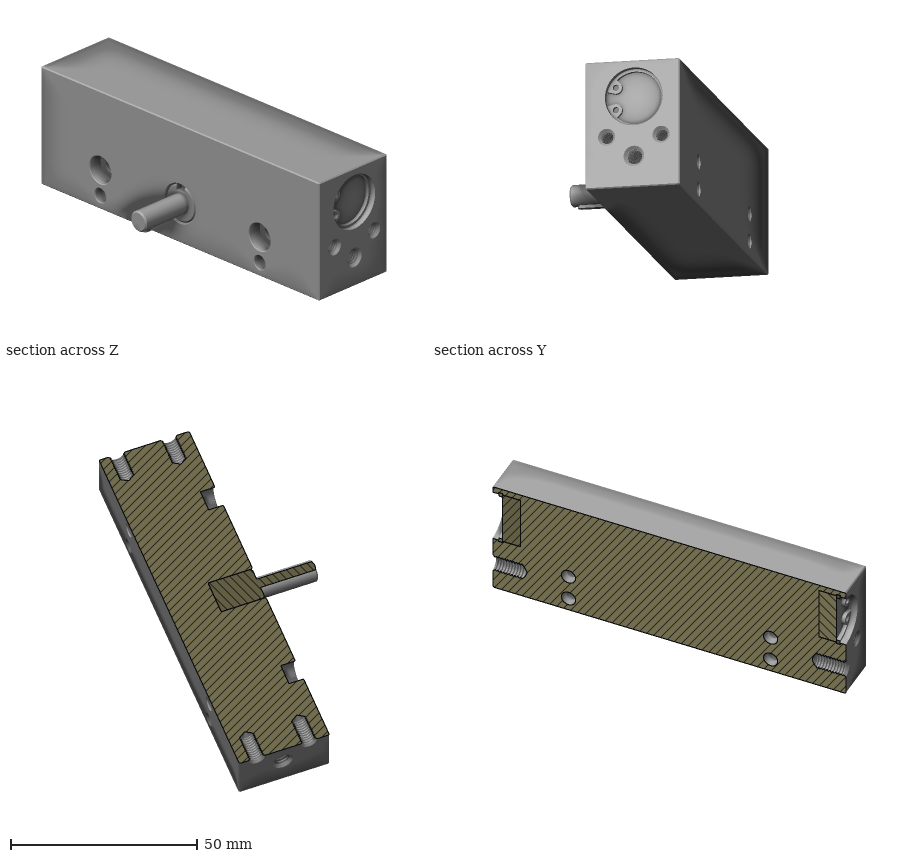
import cadquery as cq
import math

LENGTH = 105.0
DEPTH = 26.0
HEIGHT = 35.0
EDGE_CHAMFER = 0.3

MOUNT_X = 30.0
MOUNT_HOLE_DIA = 4.1
LOWER_HOLE_Z = 4.0
COUNTERBORE_DIA = 8.0
COUNTERBORE_DEPTH = 4.2
MOUTH_CHAMFER = 0.2

SHAFT_Z = 11.5
SHAFT_DIA = 6.0
SHAFT_REACH = 16.0
SHAFT_CHAMFER = 0.4
HUB_DIA = 11.0
HUB_RECESS = 0.2
HUB_CHAMFER = 0.4
HUB_LENGTH = 12.6
BORE_CHAMFER = 0.4
HUB_SLOT_WIDTH = 3.2
HUB_SLOT_FLOOR = 3.6
HUB_SLOT_DEPTH = 2.1

KEY_SIDE = 2.0
KEY_LENGTH = 10.0
KEY_PROUD = 0.6
KEY_START = 4.2

END_AXIS_Y = 13.4
END_BORE_Z = 25.0
END_BORE_DIA = 16.0
RING_INSET = 1.8
RING_THICKNESS = 1.0
RING_GROOVE_DEPTH = 0.4
RING_BAND = 0.7
PLUG_LENGTH = 5.2
LUG_DIA = 3.4
LUG_HOLE_DIA = 1.7
LUG_RADIUS = 6.2
LUG_ANGLE = 30.0

SIDE_PORT_MINOR_DIA = 3.4
SIDE_PORT_MAJOR_DIA = 4.0
SIDE_PORT_MOUTH_DIA = 4.7
SIDE_PORT_PITCH = 0.7
SIDE_PORT_SPACING = 15.0
SIDE_PORT_Z = 14.1
CENTRE_PORT_MINOR_DIA = 4.2
CENTRE_PORT_MAJOR_DIA = 5.1
CENTRE_PORT_MOUTH_DIA = 5.7
CENTRE_PORT_PITCH = 0.8
CENTRE_PORT_Z = 8.5
THREAD_TURNS = 10
FLANK_SHARE = 0.3
ROOT_SHARE = 0.2
DRILL_POINT_ANGLE = 118.0

ALONG_X = cq.Vector(1, 0, 0)
ALONG_Y = cq.Vector(0, 1, 0)


def rod_y(diameter, start_y, end_y, x, z):
    """Cylinder along Y between two Y positions."""
    start = cq.Vector(x, start_y, z)
    return cq.Workplane(cq.Solid.makeCylinder(diameter / 2, end_y - start_y, start, ALONG_Y))


def rod_x(diameter, inset, length, y, z):
    """Cylinder that starts at the given inset from the left end and runs inward."""
    start = cq.Vector(-LENGTH / 2 + inset, y, z)
    return cq.Workplane(cq.Solid.makeCylinder(diameter / 2, length, start, ALONG_X))


def at_end(left_shape, side):
    """The shape itself for the left end (-1), its mirror image for the right end (+1)."""
    return left_shape if side < 0 else left_shape.mirror("YZ")


def port(minor_dia, major_dia, mouth_dia, pitch, y, z):
    """Blind hole with a countersunk mouth, thread grooves as plain rings and a conical bottom."""
    minor_radius = minor_dia / 2
    major_radius = major_dia / 2
    mouth_radius = mouth_dia / 2
    mouth_depth = mouth_radius - minor_radius
    bottom = mouth_depth + THREAD_TURNS * pitch
    point_depth = minor_radius / math.tan(math.radians(DRILL_POINT_ANGLE / 2))
    flank = FLANK_SHARE * pitch
    root = ROOT_SHARE * pitch
    profile = [(0, 0), (0, mouth_radius), (mouth_depth, minor_radius)]
    for turn in range(THREAD_TURNS):
        turn_start = mouth_depth + turn * pitch
        profile.append((turn_start + flank, major_radius))
        profile.append((turn_start + flank + root, major_radius))
        profile.append((turn_start + 2 * flank + root, minor_radius))
        profile.append((turn_start + pitch, minor_radius))
    profile.append((bottom + point_depth, 0))
    tool = cq.Workplane("XY").polyline(profile).close().revolve(360, (0, 0, 0), (1, 0, 0))
    return tool.translate((-LENGTH / 2, y, z))


def side_port(y):
    return port(
        SIDE_PORT_MINOR_DIA, SIDE_PORT_MAJOR_DIA, SIDE_PORT_MOUTH_DIA, SIDE_PORT_PITCH, y, SIDE_PORT_Z
    )


def centre_port():
    return port(
        CENTRE_PORT_MINOR_DIA,
        CENTRE_PORT_MAJOR_DIA,
        CENTRE_PORT_MOUTH_DIA,
        CENTRE_PORT_PITCH,
        END_AXIS_Y,
        CENTRE_PORT_Z,
    )


def countersunk_rod_y(diameter, start_y, end_y, x, z, chamfer):
    """Hole tool along Y whose front rim is widened by a 45 degree chamfer."""
    radius = diameter / 2
    rim = cq.Solid.makeCone(radius + chamfer, radius, chamfer, cq.Vector(x, start_y, z), ALONG_Y)
    return rod_y(diameter, start_y, end_y, x, z).union(cq.Workplane(rim))


def make_end_cutters():
    """Tools for the plug bore, the ring groove and the threaded ports of the left end."""
    plug_inset = RING_INSET + RING_THICKNESS
    bore = rod_x(END_BORE_DIA, 0, plug_inset + PLUG_LENGTH, END_AXIS_Y, END_BORE_Z)
    groove = rod_x(END_BORE_DIA + 2 * RING_GROOVE_DEPTH, RING_INSET, RING_THICKNESS, END_AXIS_Y, END_BORE_Z)
    cutters = [bore, groove, centre_port()]
    for side in (-1, 1):
        cutters.append(side_port(END_AXIS_Y + side * SIDE_PORT_SPACING / 2))
    return cutters


def make_housing():
    """Chamfered block with the shaft bore, the mounting holes and both machined ends."""
    body = cq.Workplane("XY").box(LENGTH, DEPTH, HEIGHT).translate((0, DEPTH / 2, HEIGHT / 2))
    body = body.edges().chamfer(EDGE_CHAMFER)
    shaft_bore = countersunk_rod_y(HUB_DIA, 0, HUB_RECESS + HUB_LENGTH, 0, SHAFT_Z, BORE_CHAMFER)
    body = body.cut(shaft_bore)
    for x in (-MOUNT_X, MOUNT_X):
        counterbore = countersunk_rod_y(COUNTERBORE_DIA, 0, COUNTERBORE_DEPTH, x, SHAFT_Z, MOUTH_CHAMFER)
        upper_hole = countersunk_rod_y(MOUNT_HOLE_DIA, COUNTERBORE_DEPTH, DEPTH, x, SHAFT_Z, MOUTH_CHAMFER)
        lower_hole = countersunk_rod_y(MOUNT_HOLE_DIA, 0, DEPTH, x, LOWER_HOLE_Z, MOUTH_CHAMFER)
        body = body.cut(counterbore).cut(upper_hole).cut(lower_hole)
    for cutter in make_end_cutters():
        for side in (-1, 1):
            body = body.cut(at_end(cutter, side))
    return body


def make_key():
    """Square key with rounded ends, standing proud of the underside of the shaft."""
    bottom_z = SHAFT_Z - SHAFT_DIA / 2 - KEY_PROUD
    middle_y = -KEY_START - KEY_LENGTH / 2
    key = cq.Workplane("XY").slot2D(KEY_LENGTH, KEY_SIDE, 90).extrude(KEY_SIDE)
    return key.translate((0, middle_y, bottom_z))


def make_shaft(key):
    """Stem and hub in one piece, with a slot in the hub's front and a seat for the key."""
    stem = rod_y(SHAFT_DIA, -SHAFT_REACH, HUB_RECESS, 0, SHAFT_Z).faces("<Y").chamfer(SHAFT_CHAMFER)
    hub = rod_y(HUB_DIA, HUB_RECESS, HUB_RECESS + HUB_LENGTH, 0, SHAFT_Z)
    hub = hub.faces("<Y").chamfer(HUB_CHAMFER)
    slot = (
        cq.Workplane("XY")
        .box(HUB_SLOT_WIDTH, HUB_SLOT_DEPTH, HUB_DIA / 2, centered=(True, False, False))
        .translate((0, HUB_RECESS, SHAFT_Z + HUB_SLOT_FLOOR))
    )
    return stem.union(hub).cut(slot).cut(key)


def make_plug():
    """Disc that fills the end bore behind the retaining ring."""
    return rod_x(END_BORE_DIA, RING_INSET + RING_THICKNESS, PLUG_LENGTH, END_AXIS_Y, END_BORE_Z)


def ring_disc(diameter, y=END_AXIS_Y, z=END_BORE_Z):
    """Disc as thick as the retaining ring, in the plane of the ring."""
    return rod_x(diameter, RING_INSET, RING_THICKNESS, y, z)


def ring_sector(middle_angle, half_angle):
    """Wedge from the bore axis towards the front; angles in degrees, positive upward."""
    reach = END_BORE_DIA
    points = [(END_AXIS_Y, END_BORE_Z)]
    for angle in (middle_angle - half_angle, middle_angle + half_angle):
        turn = math.radians(angle)
        points.append((END_AXIS_Y - reach * math.cos(turn), END_BORE_Z + reach * math.sin(turn)))
    wedge = cq.Workplane("YZ").polyline(points).close().extrude(RING_THICKNESS)
    return wedge.translate((-LENGTH / 2 + RING_INSET, 0, 0))


def make_retaining_ring():
    """Internal ring, open towards the front, with a drilled lug at each side of the gap."""
    outer = ring_disc(END_BORE_DIA + 2 * RING_GROOVE_DEPTH)
    lug_half_angle = math.degrees(math.asin(LUG_DIA / 2 / LUG_RADIUS))
    lug_tangent_dia = 2 * LUG_RADIUS * math.cos(math.radians(lug_half_angle))
    band = outer.cut(ring_disc(END_BORE_DIA - 2 * RING_BAND))
    ring = band.cut(ring_sector(0, LUG_ANGLE))
    lug_rim = outer.cut(ring_disc(lug_tangent_dia))
    for side in (-1, 1):
        lug_y = END_AXIS_Y - LUG_RADIUS * math.cos(math.radians(LUG_ANGLE))
        lug_z = END_BORE_Z + side * LUG_RADIUS * math.sin(math.radians(LUG_ANGLE))
        lug_foot = lug_rim.intersect(ring_sector(side * LUG_ANGLE, lug_half_angle))
        ring = ring.union(lug_foot).union(ring_disc(LUG_DIA, lug_y, lug_z))
        ring = ring.cut(ring_disc(LUG_HOLE_DIA, lug_y, lug_z))
    return ring


key = make_key()
housing = make_housing()
shaft = make_shaft(key)
plugs = [at_end(make_plug(), side) for side in (-1, 1)]
retaining_rings = [at_end(make_retaining_ring(), side) for side in (-1, 1)]

result = cq.Compound.makeCompound(
    [housing.val(), shaft.val(), key.val()]
    + [plug.val() for plug in plugs]
    + [ring.val() for ring in retaining_rings]
)